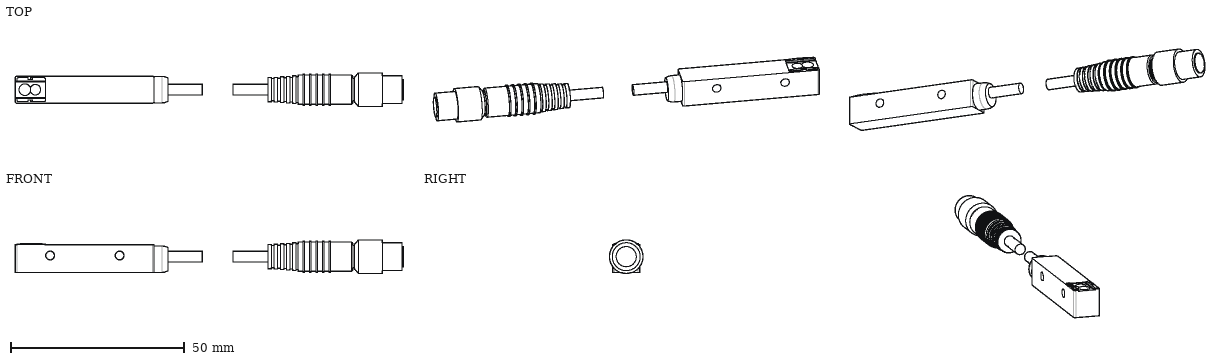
import cadquery as cq
import math

total_length = 111.7
cable_diameter = 3.1

housing_length = 40.0
housing_width = 7.8
housing_height = 8.0
housing_top = 3.5
housing_bottom = housing_top - housing_height
corner_radius = 0.5
mount_hole_diameter = 2.5
mount_hole_z = 0.3
first_hole_x = 10.0
hole_spacing = 20.0

window_length = 8.7
window_depth = 0.28
window_floor = housing_top - window_depth
window_half_width = 2.6
panel_half_width = 2.2
panel_rise = 0.1
panel_top = window_floor + panel_rise
rail_half_width = 3.5
rail_end_rise = 0.17
rail_crown = 0.39
rail_corner_radius = 0.5
rail_end_z = housing_top + rail_end_rise
notch_width = 1.3
notch_inner_y = 2.9
lens_rise = 0.5
lenses = [(2.8, 3.4), (5.8, 3.0)]

boot_diameter = 7.7
boot_z = housing_bottom + boot_diameter / 2
boot_round_start = 42.2
boot_end = 44.0
boot_end_radius = 3.4
sensor_cable_end = 53.8

plug_cable_start = 62.7
sleeve_start = 72.7
sleeve_pitch = 1.8
sleeve_rib_width = 1.0
sleeve_rib_diameters = [7.0, 7.1, 7.5, 7.7, 8.0]
sleeve_groove_diameters = [6.5, 6.7, 6.9, 7.1, 7.5]
barrel_start = 81.4
barrel_end = 96.8
barrel_diameter = 8.5
barrel_taper_length = 0.3
barrel_end_diameter = 7.7
grip_ring_count = 5
grip_ring_start = 82.9
grip_ring_span = 7.4
grip_ring_pitch = grip_ring_span / (grip_ring_count - 1)
grip_ring_width = 0.5
grip_ring_diameter = 9.0
neck_diameter = 6.5
nut_start = 97.6
nut_end = 105.7
nut_diameter = 9.7
nut_start_diameter = 7.0
nut_taper_length = 1.1
plug_diameter = 8.0
insert_diameter = 5.8
insert_length = 0.3


def cylinder_x(start, end, diameter):
    """Cylinder around the X axis between two positions."""
    disc = cq.Workplane("YZ", origin=(start, 0, 0)).circle(diameter / 2)
    return disc.extrude(end - start)


def cone_x(start, end, start_diameter, end_diameter):
    """Truncated cone around the X axis."""
    outline = cq.Workplane("XY").polyline(
        [(start, 0), (start, start_diameter / 2), (end, end_diameter / 2), (end, 0)]
    )
    return outline.close().revolve(360, (0, 0, 0), (1, 0, 0))


def arc_middle(length, drop):
    """Middle of an arc that starts level and drops by the given amount over the length.

    Returns the distance along the length and the drop at that point.
    """
    arc_radius = (length**2 + drop**2) / (2 * drop)
    mid_angle = math.asin(length / arc_radius) / 2
    return arc_radius * math.sin(mid_angle), arc_radius * (1 - math.cos(mid_angle))


def make_housing_block():
    """Rectangular housing with rounded upright edges and two cross holes."""
    block = (
        cq.Workplane("XY", origin=(housing_length / 2, 0, housing_bottom))
        .rect(housing_length, housing_width)
        .extrude(housing_height)
        .edges("|Z")
        .fillet(corner_radius)
    )
    holes = (
        cq.Workplane("XZ", origin=(0, 0, mount_hole_z))
        .pushPoints([(first_hole_x, 0), (first_hole_x + hole_spacing, 0)])
        .circle(mount_hole_diameter / 2)
        .extrude(housing_width, both=True)
    )
    return block.cut(holes)


def make_rail(side):
    """Crowned rail beside the window, with a notch in its outer edge."""
    inner_y, outer_y = sorted((side * window_half_width, side * rail_half_width))
    rail = (
        cq.Workplane("XZ", origin=(0, outer_y, 0))
        .moveTo(corner_radius, window_floor)
        .lineTo(corner_radius, rail_end_z)
        .threePointArc(
            (window_length / 2, housing_top + rail_crown),
            (window_length, rail_end_z),
        )
        .lineTo(window_length, window_floor)
        .close()
        .extrude(outer_y - inner_y)
    )
    outer_face = ">Y" if side > 0 else "<Y"
    rail = rail.faces(outer_face).edges("|Z").fillet(rail_corner_radius)
    notch = cq.Workplane("XY").box(
        notch_width, 2 * (rail_half_width - notch_inner_y), rail_crown, (True, True, False)
    )
    return rail.cut(notch.translate((window_length / 2, side * rail_half_width, housing_top)))


def make_lens(center_x, diameter):
    """Spherical cap standing on the window panel."""
    radius = diameter / 2
    mid_radius, mid_drop = arc_middle(radius, lens_rise)
    outline = (
        cq.Workplane("XZ", origin=(center_x, 0, panel_top))
        .moveTo(0, -panel_rise)
        .lineTo(radius, -panel_rise)
        .lineTo(radius, 0)
        .threePointArc((mid_radius, lens_rise - mid_drop), (0, lens_rise))
    )
    return outline.close().revolve(360, (0, 0, 0), (0, 1, 0))


def make_boot():
    """Cable boot: a cylinder with a rounded end."""
    radius = boot_diameter / 2
    mid_length, mid_drop = arc_middle(boot_end - boot_round_start, radius - boot_end_radius)
    mid_point = (boot_round_start + mid_length, radius - mid_drop)
    outline = (
        cq.Workplane("XY", origin=(0, 0, boot_z))
        .moveTo(housing_length, 0)
        .lineTo(housing_length, radius)
        .lineTo(boot_round_start, radius)
        .threePointArc(mid_point, (boot_end, boot_end_radius))
        .lineTo(boot_end, 0)
    )
    return outline.close().revolve(360, (0, 0, 0), (1, 0, 0))


def make_sensor():
    """Sensor housing with its window, boot and cable stub."""
    sensor = make_housing_block()
    recess = cq.Workplane("XY", origin=(0, 0, window_floor)).box(
        window_length, 2 * window_half_width, window_depth, (False, True, False)
    )
    panel = cq.Workplane("XY", origin=(0, 0, window_floor)).box(
        window_length, 2 * panel_half_width, panel_rise, (False, True, False)
    )
    sensor = sensor.cut(recess).union(panel)
    for side in (-1, 1):
        sensor = sensor.union(make_rail(side))
    for center_x, diameter in lenses:
        sensor = sensor.union(make_lens(center_x, diameter))
    cable = cylinder_x(boot_end, sensor_cable_end, cable_diameter)
    return sensor.union(make_boot()).union(cable)


def make_sleeve():
    """Strain relief with ribs that grow toward the barrel."""
    sleeve = cylinder_x(sleeve_start, barrel_start, sleeve_groove_diameters[0])
    for index, rib_diameter in enumerate(sleeve_rib_diameters):
        rib_start = sleeve_start + index * sleeve_pitch
        rib_end = rib_start + sleeve_rib_width
        groove_end = min(rib_start + sleeve_pitch, barrel_start)
        sleeve = sleeve.union(cylinder_x(rib_start, rib_end, rib_diameter))
        sleeve = sleeve.union(cylinder_x(rib_end, groove_end, sleeve_groove_diameters[index]))
    return sleeve


def make_barrel():
    """Grip barrel with raised rings and a tapered end."""
    barrel = cylinder_x(barrel_start, barrel_end, barrel_diameter)
    for index in range(grip_ring_count):
        ring_start = grip_ring_start + index * grip_ring_pitch
        ring = cylinder_x(ring_start, ring_start + grip_ring_width, grip_ring_diameter)
        barrel = barrel.union(ring)
    taper_end = barrel_end + barrel_taper_length
    return barrel.union(cone_x(barrel_end, taper_end, barrel_diameter, barrel_end_diameter))


def make_connector():
    """Cable stub, ribbed sleeve, barrel, coupling nut and plug end."""
    taper_end = nut_start + nut_taper_length
    plug_end = total_length - insert_length
    connector = cylinder_x(plug_cable_start, sleeve_start, cable_diameter)
    connector = connector.union(make_sleeve()).union(make_barrel())
    connector = connector.union(cylinder_x(barrel_end, nut_start, neck_diameter))
    connector = connector.union(cone_x(nut_start, taper_end, nut_start_diameter, nut_diameter))
    connector = connector.union(cylinder_x(taper_end, nut_end, nut_diameter))
    connector = connector.union(cylinder_x(nut_end, plug_end, plug_diameter))
    return connector.union(cylinder_x(plug_end, total_length, insert_diameter))


sensor = make_sensor()
connector = make_connector()
result = cq.Compound.makeCompound([sensor.val(), connector.val()])